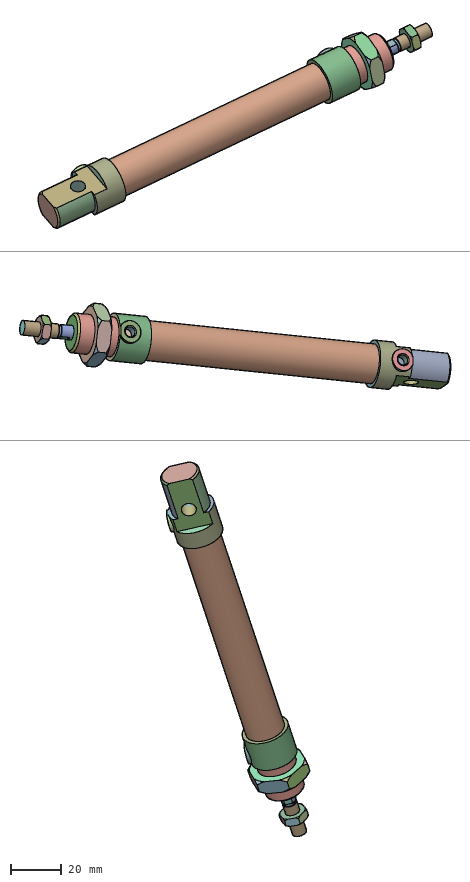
import cadquery as cq
import math


lug_hole_y = 14.2
rear_cover_start = 17.3
lug_flat_end = 23.2
rear_cover_end = 30.8
front_cover_start = 128.5
front_cover_end = 141.8
neck_end = 159.1

barrel_diameter = 16.0
cover_diameter = 19.0
lug_thickness = 12.0
lug_hole_diameter = 6.0
lug_chamfer = 0.7
neck_chamfer = 0.9

port_boss_diameter = 9.0
port_face_distance = 10.0
port_diameter = 4.1
port_mouth_diameter = 5.0
port_depth = 4.5
rear_port_y = 21.5
front_port_y = 137.7

rod_diameter = 6.0
rod_inner_end = front_cover_start
rod_tip = 180.0
flat_start = 160.4
flat_end = 164.2
flat_width = 5.0
groove_diameter = 5.0
groove_width = 1.0

mounting_nut_y = 146.2
mounting_nut_thickness = 6.0
mounting_nut_across_flats = 22.0
mounting_nut_turn = 12.0
mounting_nut_chamfer = 1.3
rod_nut_y = 169.5
rod_nut_thickness = 3.6
rod_nut_across_flats = 10.0
rod_nut_turn = 6.0
rod_nut_chamfer = 0.5


def cylinder_y(diameter, start, end):
    """Cylinder on the Y axis between two stations."""
    plane = cq.Plane(origin=(0, start, 0), xDir=(1, 0, 0), normal=(0, 1, 0))
    return cq.Workplane(plane).circle(diameter / 2).extrude(end - start)


def make_port_boss(y, cover_start, cover_end):
    """Round boss on the -X side, trimmed flush with the end faces of its cover."""
    boss = (
        cq.Workplane("YZ", origin=(-port_face_distance, y, 0))
        .circle(port_boss_diameter / 2)
        .extrude(port_face_distance)
    )
    cover_length = cover_end - cover_start
    cover_span = cq.Workplane("XY").box(
        2 * cover_diameter, cover_length, cover_diameter
    ).translate((0, (cover_start + cover_end) / 2, 0))
    return boss.intersect(cover_span)


def make_port_hole(y):
    """Blind port hole with a 45 degree countersunk mouth."""
    return (
        cq.Workplane("YZ", origin=(-port_face_distance, y, 0))
        .circle(port_diameter / 2)
        .extrude(port_depth)
        .union(make_port_mouth(y))
    )


def make_port_mouth(y):
    """Cone that countersinks a port from the mouth down to the hole."""
    mouth_radius = port_mouth_diameter / 2
    mouth_depth = mouth_radius - port_diameter / 2
    cone = cq.Solid.makeCone(
        mouth_radius,
        port_diameter / 2,
        mouth_depth,
        pnt=cq.Vector(-port_face_distance, y, 0),
        dir=cq.Vector(1, 0, 0),
    )
    return cq.Workplane(obj=cone)


def make_lug_flat_cutter(side):
    """Block above (side = 1) or below (side = -1) the flats of the rear lug."""
    cutter_height = cover_diameter
    center_z = side * (lug_thickness + cutter_height) / 2
    return (
        cq.Workplane("XY")
        .box(2 * cover_diameter, lug_flat_end, cutter_height)
        .translate((0, lug_flat_end / 2, center_z))
    )


def make_housing():
    body = cylinder_y(barrel_diameter, 0, neck_end)
    body = body.faces("<Y").chamfer(lug_chamfer)
    body = body.faces(">Y").chamfer(neck_chamfer)

    body = body.union(cylinder_y(cover_diameter, rear_cover_start, rear_cover_end))
    body = body.union(cylinder_y(cover_diameter, front_cover_start, front_cover_end))

    body = body.union(make_port_boss(rear_port_y, rear_cover_start, rear_cover_end))
    body = body.union(make_port_boss(front_port_y, front_cover_start, front_cover_end))

    for port_y in (rear_port_y, front_port_y):
        body = body.cut(make_port_hole(port_y))

    for side in (-1, 1):
        body = body.cut(make_lug_flat_cutter(side))
    lug_hole = (
        cq.Workplane("XY", origin=(0, lug_hole_y, 0))
        .circle(lug_hole_diameter / 2)
        .extrude(lug_thickness, both=True)
    )
    body = body.cut(lug_hole)

    return body.cut(cylinder_y(rod_diameter, rod_inner_end, neck_end))


def make_rod():
    rod = cylinder_y(rod_diameter, rod_inner_end, rod_tip)

    groove_end = flat_end + groove_width
    groove = cylinder_y(rod_diameter, flat_end, groove_end).cut(
        cylinder_y(groove_diameter, flat_end, groove_end)
    )
    rod = rod.cut(groove)

    flat_length = flat_end - flat_start
    for side in (-1, 1):
        cutter = (
            cq.Workplane("XY")
            .box(rod_diameter, flat_length, rod_diameter)
            .translate((0, (flat_start + flat_end) / 2, side * (flat_width + rod_diameter) / 2))
        )
        rod = rod.cut(cutter)
    return rod


def make_nut(start, thickness, across_flats, bore_diameter, turn, chamfer):
    """Hexagon nut on the Y axis; turn swings its +X corner downward, in degrees."""
    corner_diameter = across_flats / math.cos(math.pi / 6)
    plane = cq.Plane(origin=(0, start, 0), xDir=(1, 0, 0), normal=(0, 1, 0))
    hexagon = (
        cq.Workplane(plane)
        .polygon(6, corner_diameter)
        .extrude(thickness)
        .rotate((0, 0, 0), (0, 1, 0), turn)
    )
    envelope = cylinder_y(corner_diameter, start, start + thickness)
    envelope = envelope.faces("<Y or >Y").chamfer(chamfer)
    bore = cylinder_y(bore_diameter, start, start + thickness)
    return hexagon.intersect(envelope).cut(bore)


housing = make_housing()
rod = make_rod()
mounting_nut = make_nut(
    mounting_nut_y,
    mounting_nut_thickness,
    mounting_nut_across_flats,
    barrel_diameter,
    mounting_nut_turn,
    mounting_nut_chamfer,
)
rod_nut = make_nut(
    rod_nut_y,
    rod_nut_thickness,
    rod_nut_across_flats,
    rod_diameter,
    rod_nut_turn,
    rod_nut_chamfer,
)

result = cq.Compound.makeCompound(
    [housing.val(), rod.val(), mounting_nut.val(), rod_nut.val()]
)